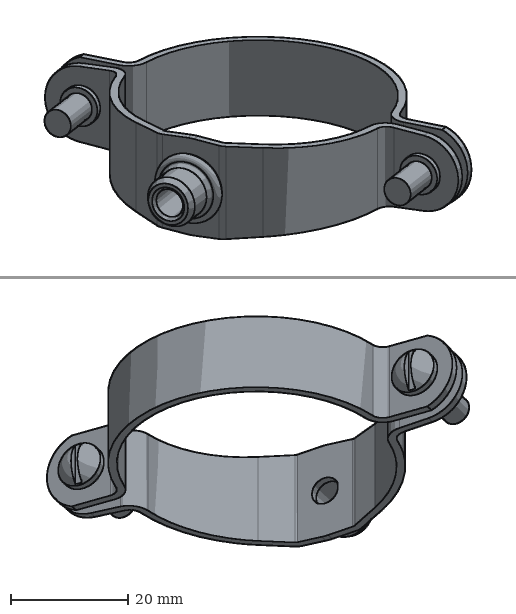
import cadquery as cq
import math


ring_radius = 25.35
thickness = 1.5
flange_gap = 2.05
flange_end = 39.5
flange_root = 27.2
inner_radius = ring_radius - thickness
flange_inside = flange_gap / 2
flange_outside = flange_inside + thickness

root_bend_radius = (flange_root**2 + flange_outside**2 - ring_radius**2) / 2 / (ring_radius - flange_outside)
root_bend_center = (flange_root, flange_outside + root_bend_radius)
root_angle = math.degrees(math.atan2(root_bend_center[1], root_bend_center[0]))

upper_half_height = 7.0
upper_end_radius = 7.5

seat_inside = 24.1
seat_slope = 28.5
seat_bend_radius = 1.0
crown_half_height = 9.0
crown_radius = 10.0
lower_end_radius = 7.0
seat_outside = seat_inside + thickness

screw_x = flange_end - lower_end_radius
screw_radius = 2.5
screw_tip = 11.6
head_radius = 4.1
head_rim = 1.3
dome_height = 1.8
slot_width = 1.3
slot_depth = 1.6
collar_radius = 3.55
collar_length = 1.1

boss_end = 34.05
boss_length = boss_end - seat_outside
boss_radius = 4.5
boss_tip_radius = 3.8
boss_tip_chamfer = 1.2
bore_radius = 2.5
bore_chamfer = 0.55
bead_root_radius = 5.9
bead_radius = 6.3
bead_peak = 0.7
bead_end_radius = 5.2
bead_end = 1.7
neck_radius = 5.05
neck_start = 1.9
neck_end = 2.85


def polar(center, radius, angle):
    """Point at an angle in degrees, counted from +X."""
    a = math.radians(angle)
    return (center[0] + radius * math.cos(a), center[1] + radius * math.sin(a))


def arc(path, center, radius, start, end):
    """Extend the path by an arc from its present point at the start angle."""
    return path.threePointArc(polar(center, radius, (start + end) / 2), polar(center, radius, end))


def flange_and_root():
    """Outer side of the right flange, from its free end to the ring."""
    path = cq.Workplane("XY").moveTo(flange_end, flange_inside).lineTo(flange_end, flange_outside)
    path = path.lineTo(flange_root, flange_outside)
    return arc(path, root_bend_center, root_bend_radius, 270, 180 + root_angle)


def close_half(path):
    """Inner side of the root bend and flange, then both mirrored halves as one strip."""
    path = arc(path, root_bend_center, root_bend_radius + thickness, 180 + root_angle, 270)
    half = path.close().extrude(crown_half_height, both=True)
    return half.union(half.mirror("YZ"))


def round_strip():
    """Strip whose ring is a full half circle."""
    path = arc(flange_and_root(), (0, 0), ring_radius, root_angle, 90)
    path = path.lineTo(0, inner_radius)
    path = arc(path, (0, 0), inner_radius, 90, root_angle)
    return close_half(path)


def seated_strip():
    """Strip whose ring runs out through straight stretches into a flat seat."""
    slope = math.radians(seat_slope)
    seat_angle = 90 - seat_slope
    bend_y = seat_inside - seat_bend_radius
    bend_x = (inner_radius - seat_bend_radius - bend_y * math.cos(slope)) / math.sin(slope)
    bend_center = (bend_x, bend_y)
    bend_outside = seat_bend_radius + thickness

    path = arc(flange_and_root(), (0, 0), ring_radius, root_angle, seat_angle)
    path = path.lineTo(*polar(bend_center, bend_outside, seat_angle))
    path = arc(path, bend_center, bend_outside, seat_angle, 90)
    path = path.lineTo(0, seat_outside).lineTo(0, seat_inside).lineTo(bend_x, seat_inside)
    path = arc(path, bend_center, seat_bend_radius, 90, seat_angle)
    path = path.lineTo(*polar((0, 0), inner_radius, seat_angle))
    path = arc(path, (0, 0), inner_radius, seat_angle, root_angle)
    return close_half(path)


def upper_elevation():
    """Parallel-sided outline with shallow round ends."""
    end_x = flange_end - upper_end_radius + math.sqrt(upper_end_radius**2 - upper_half_height**2)
    outline = (
        cq.Workplane("XZ")
        .moveTo(-end_x, upper_half_height)
        .lineTo(end_x, upper_half_height)
        .threePointArc((flange_end, 0), (end_x, -upper_half_height))
        .lineTo(-end_x, -upper_half_height)
        .threePointArc((-flange_end, 0), (-end_x, upper_half_height))
        .close()
    )
    return outline.extrude(flange_end, both=True)


def lower_elevation():
    """Outline with a rounded crown, straight tapers and full round ends, all tangent."""
    crown_center = crown_radius - crown_half_height
    taper = math.asin((crown_radius - lower_end_radius) / math.hypot(screw_x, crown_center))
    taper -= math.atan2(crown_center, screw_x)
    crown_x = crown_radius * math.sin(taper)
    crown_z = crown_radius * math.cos(taper) - crown_center
    end_x = screw_x + lower_end_radius * math.sin(taper)
    end_z = lower_end_radius * math.cos(taper)
    outline = (
        cq.Workplane("XZ")
        .moveTo(-end_x, end_z)
        .lineTo(-crown_x, crown_z)
        .threePointArc((0, crown_half_height), (crown_x, crown_z))
        .lineTo(end_x, end_z)
        .threePointArc((flange_end, 0), (end_x, -end_z))
        .lineTo(crown_x, -crown_z)
        .threePointArc((0, -crown_half_height), (-crown_x, -crown_z))
        .lineTo(-end_x, -end_z)
        .threePointArc((-flange_end, 0), (-end_x, end_z))
        .close()
    )
    return outline.extrude(flange_end, both=True)


def cylinder_y(x, radius, y_low, y_high):
    """Cylinder along Y between two levels."""
    return cq.Workplane("XZ", origin=(x, y_high, 0)).circle(radius).extrude(y_high - y_low)


def make_upper_strap():
    strap = round_strip().intersect(upper_elevation())
    for x in (-screw_x, screw_x):
        strap = strap.cut(cylinder_y(x, screw_radius, flange_inside, flange_outside))
    return strap


def make_lower_strap():
    strap = seated_strip().rotate((0, 0, 0), (0, 0, 1), 180).intersect(lower_elevation())
    collar_end = flange_outside + collar_length
    for x in (-screw_x, screw_x):
        strap = strap.union(cylinder_y(x, collar_radius, -collar_end, -flange_outside))
        strap = strap.cut(cylinder_y(x, screw_radius, -collar_end, -flange_inside))
    return strap.cut(cylinder_y(0, bore_radius, -seat_outside, -seat_inside))


def make_boss():
    """Turned boss with a bead against the seat and a chamfered bore."""
    profile = (
        cq.Workplane("XY")
        .moveTo(bore_radius, 0)
        .lineTo(bead_root_radius, 0)
        .threePointArc((bead_radius, -bead_peak), (bead_end_radius, -bead_end))
        .lineTo(neck_radius, -neck_start)
        .lineTo(boss_radius, -neck_end)
        .lineTo(boss_radius, boss_tip_chamfer - boss_length)
        .lineTo(boss_tip_radius, -boss_length)
        .lineTo(bore_radius + bore_chamfer, -boss_length)
        .lineTo(bore_radius, bore_chamfer - boss_length)
        .close()
    )
    return profile.revolve(360, (0, 0, 0), (0, 1, 0)).translate((0, -seat_outside, 0))


def make_screw(x):
    """Domed screw with a slot along Z, its head resting on the upper flange."""
    rim_top = flange_outside + head_rim
    dome_top = rim_top + dome_height
    dome_sphere = (head_radius**2 + dome_height**2) / (2 * dome_height)
    dome_center = (0, dome_top - dome_sphere)
    dome_edge_angle = math.degrees(math.acos(head_radius / dome_sphere))
    profile = (
        cq.Workplane("XY")
        .moveTo(0, -screw_tip)
        .lineTo(screw_radius, -screw_tip)
        .lineTo(screw_radius, flange_outside)
        .lineTo(head_radius, flange_outside)
        .lineTo(head_radius, rim_top)
    )
    profile = arc(profile, dome_center, dome_sphere, dome_edge_angle, 90).close()
    screw = profile.revolve(360, (0, 0, 0), (0, 1, 0))
    slot = cq.Workplane("XY").box(slot_width, 2 * slot_depth, 2 * head_radius).translate((0, dome_top, 0))
    return screw.cut(slot).translate((x, 0, 0))


upper_strap = make_upper_strap()
lower_strap = make_lower_strap()
boss = make_boss()
screws = [make_screw(x) for x in (-screw_x, screw_x)]

bodies = [upper_strap, lower_strap, boss, *screws]
result = cq.Compound.makeCompound([body.solids().val() for body in bodies])